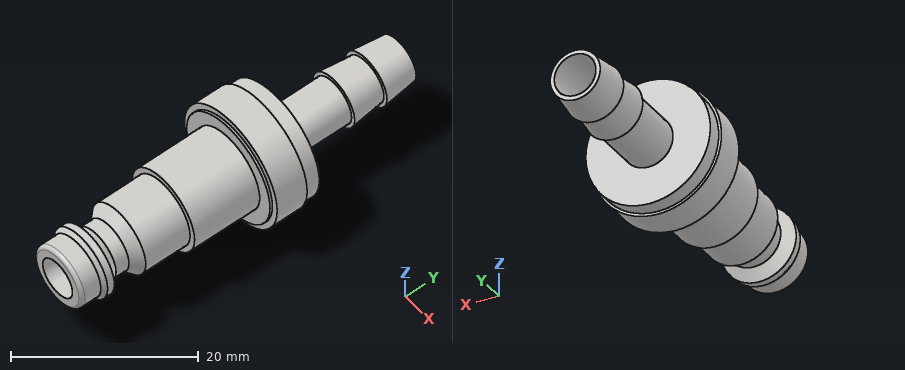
import cadquery as cq

total_length = 47.0
bore_radius = 2.5

stem_radius = 3.0
barb_radius = 3.52
collar_rear_radius = 7.45
collar_radius = 7.8
washer_radius = 7.0
shank_radius = 5.25
nose_radius = 4.5
neck_radius = 3.3
tip_radius = 4.0

barb_count = 2
barb_length = 4.45
stem_length = 8.1
collar_rear_length = 1.97
collar_length = 4.15
washer_length = 0.35
shank_length = 9.0
nose_length = 6.1
neck_length = 1.8
latch_length = 0.95
tip_length = 2.7
tip_fillet = 0.45

neck_slope = nose_radius - neck_radius
latch_slope = nose_radius - tip_radius

hose_end = total_length / 2
plug_end = -total_length / 2
collar_rear_y = hose_end - barb_count * barb_length - stem_length
collar_y = collar_rear_y - collar_rear_length
washer_y = collar_y - collar_length
shank_y = washer_y - washer_length
nose_y = shank_y - shank_length
rear_cone_y = nose_y - nose_length
tip_y = plug_end + tip_length
latch_y = tip_y + latch_slope + latch_length
neck_y = latch_y + neck_slope + neck_length


def cylinder(radius, start_y, end_y):
    """Solid cylinder on the Y axis, from start_y down to end_y."""
    return cone(radius, radius, start_y, end_y)


def cone(start_radius, end_radius, start_y, end_y):
    """Solid of revolution on the Y axis with a straight flank."""
    profile = [(0, start_y), (start_radius, start_y), (end_radius, end_y), (0, end_y)]
    return cq.Workplane("XY").polyline(profile).close().revolve(360, (0, 0), (0, 1))


def hose_tail():
    """Plain stem carrying barbs that widen away from the hose end."""
    tail = cylinder(stem_radius, hose_end, collar_rear_y)
    for index in range(barb_count):
        start_y = hose_end - index * barb_length
        tail = tail.union(cone(stem_radius, barb_radius, start_y, start_y - barb_length))
    return tail


def collar():
    """Stepped collar with a thin washer face on the plug side."""
    rear = cylinder(collar_rear_radius, collar_rear_y, collar_y)
    front = cylinder(collar_radius, collar_y, washer_y)
    washer = cylinder(washer_radius, washer_y, shank_y)
    return rear.union(front).union(washer)


def plug():
    """Stepped plug with a latching neck and a rounded tip."""
    body = cylinder(shank_radius, shank_y, nose_y)
    body = body.union(cylinder(nose_radius, nose_y, rear_cone_y))
    body = body.union(cone(nose_radius, neck_radius, rear_cone_y, neck_y))
    body = body.union(cylinder(neck_radius, neck_y, latch_y + neck_slope))
    body = body.union(cone(neck_radius, nose_radius, latch_y + neck_slope, latch_y))
    body = body.union(cylinder(nose_radius, latch_y, tip_y + latch_slope))
    body = body.union(cone(nose_radius, tip_radius, tip_y + latch_slope, tip_y))
    tip = cylinder(tip_radius, tip_y, plug_end).faces("<Y").edges().fillet(tip_fillet)
    return body.union(tip)


bore = cylinder(bore_radius, hose_end, plug_end)
result = hose_tail().union(collar()).union(plug()).cut(bore)